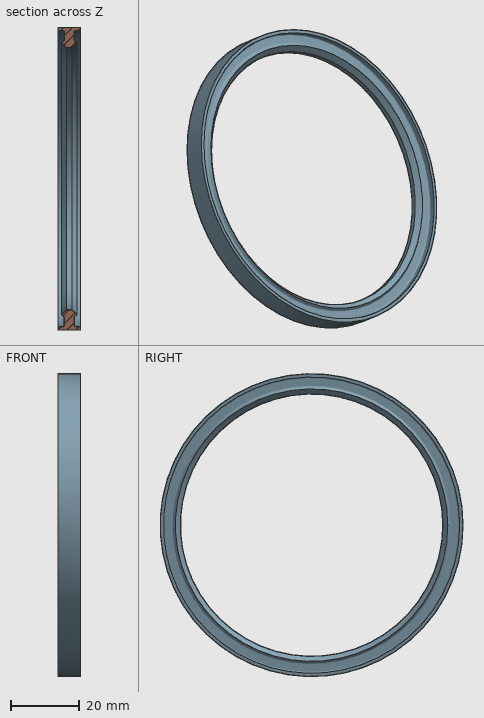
import cadquery as cq
import math

RING_WIDTH = 6.7
RIM_OUTER_RADIUS = 89 / 2
RIM_INNER_RADIUS = 87 / 2
BORE_RADIUS = 77 / 2
WEB_THICKNESS = 3.0
LIP_CREST_RADIUS = 80 / 2
LIP_HEIGHT = 0.75
LIP_SLOPE = math.radians(45)
FILLET_RADIUS = 0.4
SELECTION_MARGIN = 0.01

rim_face_x = RING_WIDTH / 2
web_face_x = WEB_THICKNESS / 2
lip_crest_x = web_face_x + LIP_HEIGHT
bore_end_x = lip_crest_x - (LIP_CREST_RADIUS - BORE_RADIUS) * math.tan(LIP_SLOPE)

lip_root_radius = LIP_CREST_RADIUS + LIP_HEIGHT / math.tan(LIP_SLOPE)


def make_sharp_ring():
    """Revolve the section: outer rim, thin web and a pointed lip on each side of the bore."""
    half_section = [
        (rim_face_x, RIM_OUTER_RADIUS),
        (rim_face_x, RIM_INNER_RADIUS),
        (web_face_x, RIM_INNER_RADIUS),
        (web_face_x, lip_root_radius),
        (lip_crest_x, LIP_CREST_RADIUS),
        (bore_end_x, BORE_RADIUS),
    ]
    mirrored_half = [(-x, radius) for x, radius in reversed(half_section)]
    section = cq.Workplane("XY").polyline(half_section + mirrored_half).close()
    return section.revolve(360, (0, 0, 0), (1, 0, 0))


def round_groove_corners(ring, face_x):
    """Fillet both circular corners of the groove whose floor is the web face at face_x."""
    floor_corners = cq.selectors.BoxSelector(
        (face_x - SELECTION_MARGIN, -RIM_OUTER_RADIUS, -RIM_OUTER_RADIUS),
        (face_x + SELECTION_MARGIN, RIM_OUTER_RADIUS, RIM_OUTER_RADIUS),
    )
    return ring.edges(floor_corners).fillet(FILLET_RADIUS)


result = make_sharp_ring()
for web_face in (-web_face_x, web_face_x):
    result = round_groove_corners(result, web_face)